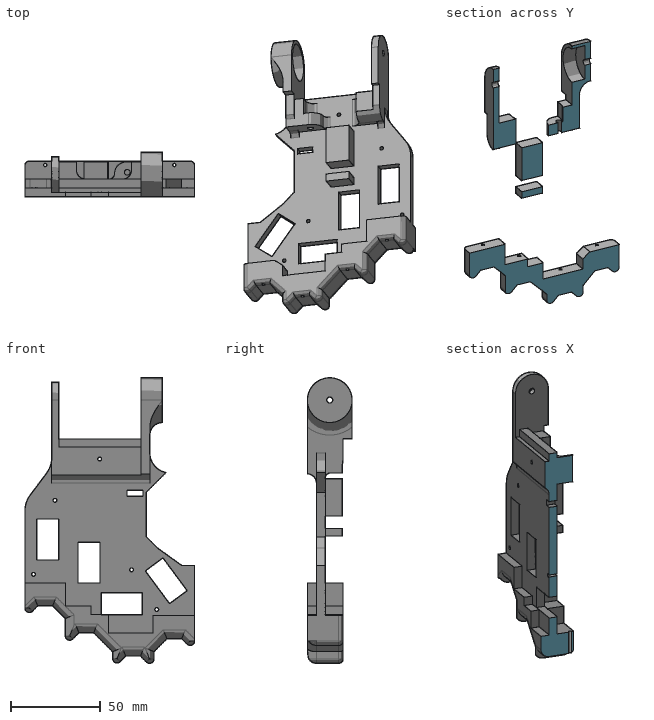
import cadquery as cq
import math


width = 94.66
front_y = -12.5
back_y = 7.5
plate_front_y = -7.5
plate_back_y = -2.5
plate_top_z = 125.0
rear_boss_y = 7.0

axis_z = 146.65
left_arm_x = 15.0
left_arm_thickness = 4.0
left_arm_radius = 10.0
right_arm_x = 64.7
right_arm_thickness = 5.0
housing_length = 12.0
housing_radius = 12.5
housing_fillet = 7.0
bore_radius = 10.4
bore_depth = 8.0
axle_hole_diameter = 3.2
arm_rear_y = 7.4
arm_round = 7.0
arm_fillet = 3.0
arm_rear_bottom_z = 106.0
right_arm_end_x = right_arm_x + right_arm_thickness

bar_front_y = -10.0
bar_top_z = 120.6
bar_fillet = 5.0
bar_bottom_z = 100.5

shoulder_radius = 15.0
shoulder_low_z = 89.8
shoulder_high_z = 109.8
scallop_top_z = 117.5
scallop_radius = 12.0
scallop_mid_angle = 210.0
spur_x = 78.7
spur_z = 106.3
waist_x = 67.7
waist_top_z = spur_z - (spur_x - waist_x)
waist_bottom_z = 70.5
thumb_knee_x = 73.9
thumb_knee_z = waist_bottom_z - (thumb_knee_x - waist_x)
thumb_corner_x = 87.4
thumb_top_z = 54.6

servo_length = 22.6
servo_width = 12.1
servo_windows = [
    (12.75, 69.0, 0.0),
    (35.8, 56.1, 0.0),
    (54.0, 33.2, 90.0),
    (78.8, 46.0, 36.5),
]
slot_centre = (61.4, 94.7)
slot_size = (8.9, 3.2)
screw_hole_diameter = 2.0
screw_holes = [(41.7, 113.8), (16.8, 90.8), (4.9, 49.6), (59.5, 52.1), (73.5, 30.0)]

knuckle_arches = [(11.35, 32.0), (34.3, 17.0), (60.35, 4.0), (83.3, 13.7)]
arch_half_width = 4.1
knuckle_walls_x = [22.5, 48.9, 72.0]
tip_radius = 2.5
front_round = 5.0
rear_round = 2.5
tip_angle = 45.0
tip_overrun = 6.0
clearance = 1.0
block_steps = [(22.6, 44.8), (37.0, 32.0), (46.6, 27.1), (71.5, 17.0), (width, 26.7)]
tendon_hole_diameter = 1.7
tendon_hole_y = 5.3
relief_top_x = 76.0
relief_drop = 3.4

post_x = 33.0
post_end_x = 46.2
post_z_ranges = [(70.9, 75.2), (82.0, 102.9)]
gusset_fillet = 5.0
gusset_top_z = 122.0
left_gusset_end_x = 28.8
right_gusset_x = 59.5
guide_foot_x = 47.0
guide_round = 6.5
guide_top_z = 113.0
guide_hole_x = 57.1
guide_hole_y = 1.2
guide_hole_diameter = 3.2


def box(x_range, y_range, z_range):
    """Axis-aligned box between the given limits."""
    size = [high - low for low, high in (x_range, y_range, z_range)]
    corner = (x_range[0], y_range[0], z_range[0])
    return cq.Workplane("XY").box(*size, centered=False).translate(corner)


def along_y(start_y):
    """XZ workplane at the given Y; negative extrusions run toward +Y."""
    return cq.Workplane(cq.Plane((0, start_y, 0), (1, 0, 0), (0, -1, 0)))


def extrude_y(outline, y_low, y_high):
    """Extrude a function that draws an XZ outline between two Y values."""
    return outline(along_y(y_low)).extrude(y_low - y_high)


def cylinder_x(radius, x_low, x_high):
    """Cylinder about the wrist axis."""
    return cq.Workplane("YZ", origin=(x_low, 0, axis_z)).circle(radius).extrude(x_high - x_low)


def plate_outline(plane):
    scallop_centre_x = right_arm_end_x + scallop_radius
    mid_angle = math.radians(scallop_mid_angle)
    scallop_mid = (
        scallop_centre_x + scallop_radius * math.cos(mid_angle),
        scallop_top_z + scallop_radius * math.sin(mid_angle),
    )
    step_z = [z for x, z in block_steps]
    return (
        plane.moveTo(0, step_z[0])
        .lineTo(0, shoulder_low_z)
        .lineTo(left_arm_x, shoulder_high_z)
        .lineTo(left_arm_x, plate_top_z)
        .lineTo(right_arm_end_x, plate_top_z)
        .lineTo(right_arm_end_x, scallop_top_z)
        .threePointArc(scallop_mid, (spur_x, spur_z))
        .lineTo(waist_x, waist_top_z)
        .lineTo(waist_x, waist_bottom_z)
        .lineTo(thumb_knee_x, thumb_knee_z)
        .lineTo(thumb_corner_x, thumb_top_z)
        .lineTo(width, thumb_top_z)
        .lineTo(width, step_z[-1])
        .lineTo(block_steps[-2][0], block_steps[-2][1])
        .lineTo(block_steps[-3][0], block_steps[-2][1])
        .lineTo(block_steps[0][0], block_steps[1][1])
        .close()
    )


def palm_plate():
    plate = extrude_y(plate_outline, plate_front_y, plate_back_y)
    for x, z in [(0, shoulder_low_z), (left_arm_x, shoulder_high_z)]:
        corner = cq.selectors.NearestToPointSelector((x, (plate_front_y + plate_back_y) / 2, z))
        plate = plate.edges(corner).fillet(shoulder_radius)
    return plate


def arch_points(number):
    """Four outline points of one finger arch, its 45 degree legs ending at the walls beside it."""
    limits = [0] + knuckle_walls_x + [width]
    centre, top = knuckle_arches[number]
    left = centre - arch_half_width
    right = centre + arch_half_width
    wall_left = limits[number]
    wall_right = limits[number + 1]
    left_foot = (wall_left, top - (left - wall_left))
    right_foot = (wall_right, top - (wall_right - right))
    return [left_foot, (left, top), (right, top), right_foot]


def knuckle_tips():
    """Sharp tips as (wall x, vertex z, side on which the material lies: +1 right, -1 left)."""
    first, second, third, fourth = [arch_points(number) for number in range(4)]
    return [
        (*first[0], 1),
        (*second[0], 1),
        (*third[0], 1),
        (*third[3], -1),
        (*fourth[3], -1),
    ]


def knuckle_outline(plane):
    block_top_z = block_steps[0][1]
    lower_edge = []
    for number in range(4):
        lower_edge += arch_points(number)
    return plane.polyline([(0, block_top_z)] + lower_edge + [(width, block_top_z)]).close()


def arch_front_cutter(path_points):
    """Rounds the front edge along a chain of outline segments, mitred at the inner corners."""
    start_x, start_z = path_points[0]
    next_x, next_z = path_points[1]
    path = cq.Workplane("XZ", origin=(0, front_y, 0)).polyline(path_points)
    along = cq.Vector(next_x - start_x, 0, next_z - start_z)
    inward = along.cross(cq.Vector(0, 1, 0))
    section = cq.Plane((start_x, front_y, start_z), inward, along * -1)
    diagonal = front_round * (1 - math.sqrt(0.5))
    return (
        cq.Workplane(section)
        .moveTo(0, front_round)
        .threePointArc((diagonal, diagonal), (front_round, 0))
        .lineTo(front_round, -clearance)
        .lineTo(-clearance, -clearance)
        .lineTo(-clearance, front_round)
        .close()
        .sweep(path, transition="right")
    )


def tip_front_cutter(wall_x, vertex_z, side):
    """Carries the front rounding around one rounded tip."""
    centre_x = wall_x + side * tip_radius
    centre_z = vertex_z + tip_radius / math.tan(math.radians(tip_angle / 2))
    ring_offset = front_round - tip_radius
    apex_depth = front_round - math.sqrt(front_round**2 - ring_offset**2)
    mid_angle = (math.acos(ring_offset / front_round)) / 2
    mid_radius = front_round * math.cos(mid_angle) - ring_offset
    mid_depth = front_round - front_round * math.sin(mid_angle)
    return (
        cq.Workplane(cq.Plane((centre_x, front_y, centre_z), (-side, 0, 0), (0, 0, -side)))
        .moveTo(0, apex_depth)
        .threePointArc((mid_radius, mid_depth), (tip_radius, front_round))
        .lineTo(tip_radius + clearance, front_round)
        .lineTo(tip_radius + clearance, -clearance)
        .lineTo(0, -clearance)
        .close()
        .revolve(180 - tip_angle, (0, 0), (0, 1) if side < 0 else (0, -1))
    )


def round_knuckle_front(block):
    """Round the lower front edge, arch by arch and then tip by tip."""
    first, second, third, fourth = [arch_points(number) for number in range(4)]

    def below(point):
        return (point[0], point[1] - tip_overrun)

    def beyond(foot, direction):
        return (foot[0] + direction * tip_overrun, foot[1] - tip_overrun)

    chains = [
        [beyond(first[0], -1)] + first[1:] + [below(second[0])],
        [beyond(second[0], -1)] + second[1:] + [below(third[0])],
        [beyond(third[0], -1)] + third[1:3] + [beyond(third[3], 1)],
        [below(third[3])] + fourth[:3] + [beyond(fourth[3], 1)],
    ]
    for chain in chains:
        block = block.cut(arch_front_cutter(chain))
    for tip in knuckle_tips():
        block = block.cut(tip_front_cutter(*tip))
    return block


def servo_relief():
    """Space for the tilted servo's lower ear, behind the plate and right of the lowest step."""
    wall_x = block_steps[-2][0]
    top_z = block_steps[-1][1]
    return (
        along_y(plate_back_y)
        .polyline([(wall_x, top_z - relief_drop), (relief_top_x, top_z), (wall_x, top_z)])
        .close()
        .extrude(plate_back_y - back_y)
    )


def knuckle_block():
    block = extrude_y(knuckle_outline, front_y, back_y)
    middle_y = (front_y + back_y) / 2
    for x, z, side in knuckle_tips():
        tip_edge = cq.selectors.NearestToPointSelector((x, middle_y, z))
        block = block.edges(tip_edge).fillet(tip_radius)
    block = block.faces(">Y").edges("not >Z").fillet(rear_round)
    step_start = 0
    block_top_z = block_steps[0][1]
    for step_end, step_z in block_steps:
        if step_z < block_top_z:
            block = block.cut(box((step_start, step_end), (front_y, back_y), (step_z, block_top_z)))
        step_start = step_end
    return block.cut(servo_relief())


def bar_fillet_z(y):
    """Height of the concave rounding under the bar and arms at a given Y."""
    distance = y - (plate_front_y - bar_fillet)
    return bar_bottom_z + math.sqrt(bar_fillet**2 - distance**2)


def arm_profile(radius, thickness, x):
    """Arm side shape: round top, stepped back, rounded lower back blending into the plate."""
    convex_mid = (
        arm_rear_y - arm_round * (1 - math.sqrt(0.5)),
        arm_rear_bottom_z + arm_round * (1 - math.sqrt(0.5)),
    )
    blend_y = plate_back_y + arm_fillet
    blend_mid = (
        blend_y - arm_fillet * math.sqrt(0.5),
        arm_rear_bottom_z - arm_fillet * (1 - math.sqrt(0.5)),
    )
    return (
        cq.Workplane("YZ", origin=(x, 0, 0))
        .moveTo(-radius, axis_z)
        .threePointArc((0, axis_z + radius), (radius, axis_z))
        .lineTo(radius, plate_top_z)
        .lineTo(arm_rear_y, plate_top_z)
        .lineTo(arm_rear_y, arm_rear_bottom_z + arm_round)
        .threePointArc(convex_mid, (arm_rear_y - arm_round, arm_rear_bottom_z))
        .lineTo(blend_y, arm_rear_bottom_z)
        .threePointArc(blend_mid, (plate_back_y, arm_rear_bottom_z - arm_fillet))
        .lineTo(plate_back_y, bar_bottom_z)
        .lineTo(plate_front_y, bar_bottom_z)
        .radiusArc((-radius, bar_fillet_z(-radius)), -bar_fillet)
        .close()
        .extrude(thickness)
    )


def housing():
    """Motor housing drum with a concave fillet onto the outer face of the right arm."""
    drum_end_x = right_arm_x + housing_length
    drum = cylinder_x(housing_radius, right_arm_x, drum_end_x)
    flare_x = drum_end_x - right_arm_end_x
    flare = (
        cq.Workplane("XY", origin=(drum_end_x, 0, axis_z))
        .moveTo(0, 0)
        .lineTo(0, housing_radius)
        .radiusArc((-flare_x, housing_radius + housing_fillet), housing_fillet)
        .lineTo(-flare_x, 0)
        .close()
        .revolve(360, (0, 0), (1, 0))
    )
    below_axis = box(
        (right_arm_x, drum_end_x),
        (-housing_radius, housing_radius),
        (axis_z - housing_radius - housing_fillet, axis_z),
    )
    return drum.union(flare.intersect(below_axis))


def wrist_bar():
    """Bar between the arms, in front of the plate, with a concave rounding below it."""
    return (
        cq.Workplane("YZ", origin=(left_arm_x, 0, 0))
        .moveTo(plate_back_y, bar_top_z)
        .lineTo(bar_front_y, bar_top_z)
        .lineTo(bar_front_y, bar_fillet_z(bar_front_y))
        .radiusArc((plate_front_y, bar_bottom_z), bar_fillet)
        .lineTo(plate_back_y, bar_bottom_z)
        .close()
        .extrude(right_arm_end_x - left_arm_x)
    )


def posts():
    lower, upper = [box((post_x, post_end_x), (plate_back_y, rear_boss_y), z) for z in post_z_ranges]
    return lower.union(upper)


def arm_gussets():
    """Blocks joining both arms to the plate back, their inner sides filleted onto the plate."""
    left_foot_x = left_gusset_end_x + gusset_fillet
    right_foot_x = right_gusset_x - gusset_fillet
    fillet_top_y = plate_back_y + gusset_fillet
    height = gusset_top_z - arm_rear_bottom_z
    base = cq.Workplane("XY", origin=(0, 0, arm_rear_bottom_z))
    left = (
        base.moveTo(left_arm_x, plate_back_y)
        .lineTo(left_foot_x, plate_back_y)
        .radiusArc((left_gusset_end_x, fillet_top_y), gusset_fillet)
        .lineTo(left_gusset_end_x, rear_boss_y)
        .lineTo(left_arm_x, rear_boss_y)
        .close()
        .extrude(height)
    )
    right = (
        base.moveTo(right_arm_end_x, plate_back_y)
        .lineTo(right_foot_x, plate_back_y)
        .radiusArc((right_gusset_x, fillet_top_y), -gusset_fillet)
        .lineTo(right_gusset_x, rear_boss_y)
        .lineTo(right_arm_end_x, rear_boss_y)
        .close()
        .extrude(height)
    )
    rounded_back = arm_profile(left_arm_radius, right_arm_end_x - left_arm_x, left_arm_x)
    return left.union(right).intersect(rounded_back)


def tendon_guide():
    """Low block beside the right arm with an S-shaped side."""
    shoulder_x = guide_foot_x + arm_fillet
    shoulder_y = plate_back_y + arm_fillet
    return (
        cq.Workplane("XY", origin=(0, 0, arm_rear_bottom_z))
        .moveTo(guide_foot_x, plate_back_y)
        .radiusArc((shoulder_x, shoulder_y), -arm_fillet)
        .radiusArc((shoulder_x + guide_round, rear_boss_y), guide_round)
        .lineTo(right_arm_end_x, rear_boss_y)
        .lineTo(right_arm_end_x, plate_back_y)
        .close()
        .extrude(guide_top_z - arm_rear_bottom_z)
    )


def plate_openings():
    """Servo windows, the small slot and the screw holes."""
    cutter = box(
        (slot_centre[0] - slot_size[0] / 2, slot_centre[0] + slot_size[0] / 2),
        (plate_front_y, plate_back_y),
        (slot_centre[1] - slot_size[1] / 2, slot_centre[1] + slot_size[1] / 2),
    )
    depth = plate_back_y - plate_front_y
    for x, z, turn in servo_windows:
        window = cq.Workplane("XY").box(servo_width, depth, servo_length)
        window = window.rotate((0, 0, 0), (0, 1, 0), -turn)
        cutter = cutter.union(window.translate((x, (plate_front_y + plate_back_y) / 2, z)))
    holes = along_y(bar_front_y).pushPoints(screw_holes).circle(screw_hole_diameter / 2)
    return cutter.union(holes.extrude(bar_front_y - plate_back_y))


def axle_openings():
    """Axle hole through both arms and the motor bore in the right one."""
    axle = cylinder_x(axle_hole_diameter / 2, left_arm_x, right_arm_x + housing_length)
    return axle.union(cylinder_x(bore_radius, right_arm_x, right_arm_x + bore_depth))


def tendon_holes():
    """Upright hole above each finger arch."""
    centres = [(x, tendon_hole_y) for x, top in knuckle_arches]
    plane = cq.Workplane("XY").pushPoints(centres)
    return plane.circle(tendon_hole_diameter / 2).extrude(block_steps[0][1])


def guide_hole():
    """Upright hole through the tendon guide and the gusset beside it."""
    plane = cq.Workplane("XY", origin=(guide_hole_x, guide_hole_y, arm_rear_bottom_z))
    return plane.circle(guide_hole_diameter / 2).extrude(gusset_top_z - arm_rear_bottom_z)


left_arm = arm_profile(left_arm_radius, left_arm_thickness, left_arm_x)
right_arm = arm_profile(housing_radius, right_arm_thickness, right_arm_x)
right_arm = right_arm.cut(cylinder_x(housing_radius, right_arm_x, right_arm_end_x))
body = (
    palm_plate()
    .union(wrist_bar())
    .union(left_arm.union(right_arm))
    .union(knuckle_block())
    .union(arm_gussets())
    .union(tendon_guide())
    .union(posts())
    .union(housing())
)
body = body.cut(plate_openings()).cut(axle_openings()).cut(tendon_holes()).cut(guide_hole())
result = round_knuckle_front(body)